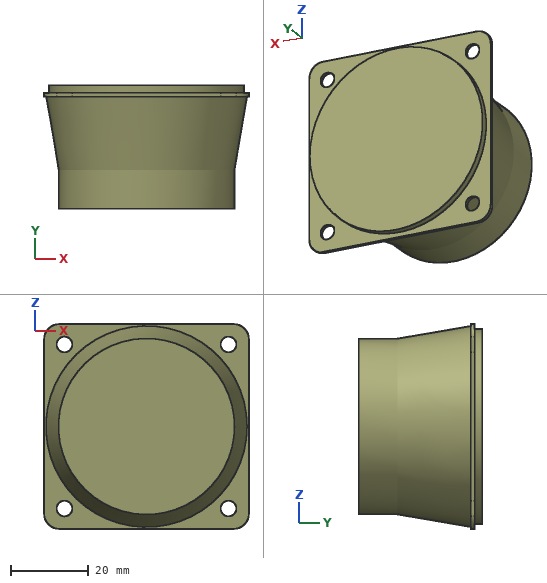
import cadquery as cq

flange_side = 53.0
flange_thickness = 1.0
flange_corner_radius = 4.0
hole_diameter = 4.0
hole_spacing = 42.4

rear_disc_diameter = 50.5
rear_disc_length = 2.0
body_base_diameter = 52.0
body_front_diameter = 45.5
taper_length = 19.0
front_length = 10.0


def make_flange():
    """Rounded square plate with a mounting hole near each corner."""
    plate = (
        cq.Workplane("XZ")
        .rect(flange_side, flange_side)
        .extrude(-flange_thickness)
        .edges("|Y")
        .fillet(flange_corner_radius)
    )
    holes = (
        cq.Workplane("XZ")
        .rect(hole_spacing, hole_spacing, forConstruction=True)
        .vertices()
        .circle(hole_diameter / 2)
        .extrude(-flange_thickness)
    )
    return plate.cut(holes)


def make_rear_disc():
    """Low round step behind the flange."""
    return (
        cq.Workplane("XZ", origin=(0, flange_thickness, 0))
        .circle(rear_disc_diameter / 2)
        .extrude(-rear_disc_length)
    )


def make_body():
    """Tapered section narrowing toward -Y, then a straight cylinder."""
    taper_end = -taper_length
    front_end = taper_end - front_length
    half_profile = (
        cq.Workplane("XY")
        .moveTo(0, 0)
        .lineTo(body_base_diameter / 2, 0)
        .lineTo(body_front_diameter / 2, taper_end)
        .lineTo(body_front_diameter / 2, front_end)
        .lineTo(0, front_end)
        .close()
    )
    return half_profile.revolve(360, (0, 0, 0), (0, 1, 0))


result = make_flange().union(make_rear_disc()).union(make_body())